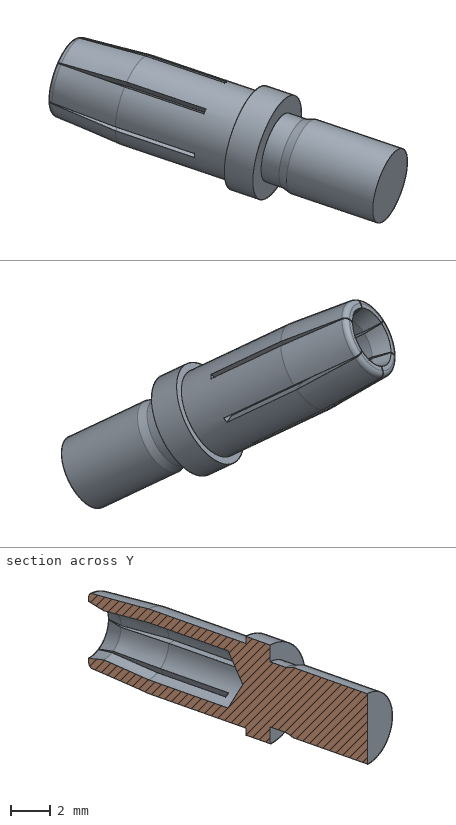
import cadquery as cq
import math

length = 18.4
body_radius = 4.8 / 2
collar_radius = 5.6 / 2
neck_radius = 3.7 / 2
shank_radius = 4.0 / 2

bend_x = 4.0
collar_start_x = 10.38
collar_end_x = 12.0
neck_end_x = 13.0
shank_start_x = 13.5

nose_radius = 4.23 / 2
nose_rounding = 0.3
bore_radius = 3.2 / 2
throat_radius = 2.75 / 2
throat_x = 1.03
bore_depth = 9.2
drill_tip_angle = 118.0

slot_count = 6
slot_end_x = 8.48
slot_width = 0.28
slot_nose_width = 0.04


def revolve_about_x(profile):
    return profile.close().revolve(360, (0, 0, 0), (1, 0, 0))


def make_outer_body():
    profile = (
        cq.Workplane("XY")
        .lineTo(0, nose_radius)
        .lineTo(bend_x, body_radius)
        .lineTo(collar_start_x, body_radius)
        .lineTo(collar_start_x, collar_radius)
        .lineTo(collar_end_x, collar_radius)
        .lineTo(collar_end_x, neck_radius)
        .lineTo(neck_end_x, neck_radius)
        .lineTo(shank_start_x, shank_radius)
        .lineTo(length, shank_radius)
        .lineTo(length, 0)
    )
    return revolve_about_x(profile).faces("<X").edges().fillet(nose_rounding)


def make_bore():
    """Flared mouth, throat, widening finger bore and a conical drill bottom."""
    tip_length = bore_radius / math.tan(math.radians(drill_tip_angle / 2))
    profile = (
        cq.Workplane("XY")
        .lineTo(0, bore_radius)
        .lineTo(throat_x, throat_radius)
        .lineTo(bend_x, bore_radius)
        .lineTo(bore_depth, bore_radius)
        .lineTo(bore_depth + tip_length, 0)
    )
    return revolve_about_x(profile)


def make_slot(angle):
    """One radial slot, narrowing to the nose where the fingers bend inward."""
    outline = [
        (0, -slot_nose_width / 2),
        (bend_x, -slot_width / 2),
        (slot_end_x, -slot_width / 2),
        (slot_end_x, slot_width / 2),
        (bend_x, slot_width / 2),
        (0, slot_nose_width / 2),
    ]
    slot = cq.Workplane("XY").polyline(outline).close().extrude(collar_radius)
    return slot.rotate((0, 0, 0), (1, 0, 0), angle)


result = make_outer_body().cut(make_bore())
for index in range(slot_count):
    result = result.cut(make_slot(-90 + index * 360 / slot_count))